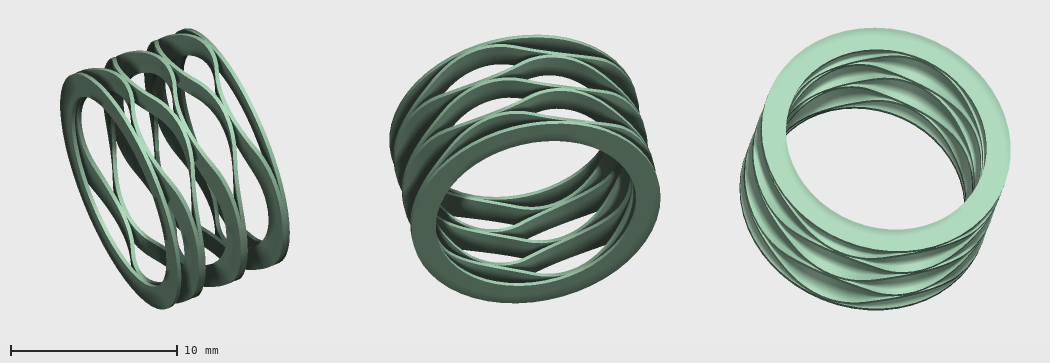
import cadquery as cq
import math

outer_diameter = 15.24
inner_diameter = 12.28
height = 7.62
thickness = 0.25
overlap = 0.02
wave_count = 5

half_wave = outer_diameter / 3
arch_count = 4
contact_pitch = thickness - overlap
travel = (height - thickness - (wave_count + 1) * contact_pitch) / wave_count
ring_pitch = travel + contact_pitch
arch_rise = travel / 2
arch_radius = ((half_wave / 2) ** 2 + arch_rise**2) / (2 * arch_rise)
slope_angle = math.asin(half_wave / 2 / arch_radius)


def arch_points(index, first_side, offset):
    """Start, middle and end of one arch edge, offset square to the mid line."""
    side = first_side * (-1) ** index
    center_x = (index - (arch_count - 1) / 2) * half_wave
    center_y = side * (arch_rise - arch_radius)
    radius = arch_radius + side * offset
    return [
        (center_x + radius * math.sin(angle), center_y + side * radius * math.cos(angle))
        for angle in (-slope_angle, 0, slope_angle)
    ]


def extrude_through(profile):
    """Extrude an X-Y profile along Z through the whole diameter."""
    return profile.close().extrude(outer_diameter / 2, both=True)


def wavy_strip(center_y, first_side):
    """Wave of tangent arcs, alternately bulging toward +Y and -Y."""
    upper = [arch_points(i, first_side, thickness / 2) for i in range(arch_count)]
    lower = [arch_points(i, first_side, -thickness / 2) for i in range(arch_count)]
    profile = cq.Workplane("XY", origin=(0, center_y, 0)).moveTo(*upper[0][0])
    for start, middle, end in upper:
        profile = profile.threePointArc(middle, end)
    profile = profile.lineTo(*lower[-1][2])
    for start, middle, end in reversed(lower):
        profile = profile.threePointArc(middle, start)
    return extrude_through(profile)


def tube(start_y, length):
    """Ring around the Y axis, growing from start_y toward +Y."""
    return (
        cq.Workplane("XZ", origin=(0, start_y, 0))
        .circle(outer_diameter / 2)
        .circle(inner_diameter / 2)
        .extrude(-length)
    )


result = tube(-height / 2, thickness).union(tube(height / 2 - thickness, thickness))

envelope = tube(-height / 2, height)
for ring in range(wave_count):
    ring_y = (ring - (wave_count - 1) / 2) * ring_pitch
    first_side = -1 if ring % 2 == 0 else 1
    result = result.union(wavy_strip(ring_y, first_side).intersect(envelope))